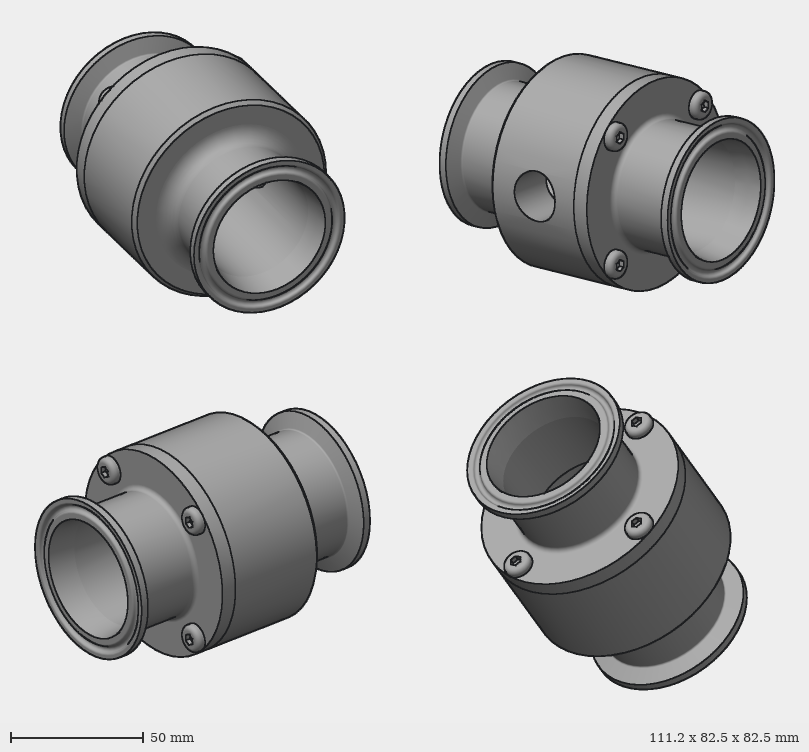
import cadquery as cq
import math

length = 111.2
end_face = length / 2
cap_face = -23.8
plate_thickness = 6.3
joint_face = cap_face + plate_thickness
housing_end = 23.6
hub_diameter = 82.5
housing_chamfer = 1.6

rim_diameter = 63.9
rim_width = 3.1
rim_back_angle = 20.0
rim_fillet = 0.8
tube_diameter = 50.7
cap_neck_fillet = 2.0
housing_neck_fillet = 6.3

bore_diameter = 44.5
mouth_diameter = 47.5
taper_length = 11.3

groove_mean_radius = 28.18
groove_half_width = 2.17
groove_bottom_half_width = 1.2
groove_depth = 1.6

port_diameter = 19.8
port_x = 1.6

screw_offset = 25.29
head_diameter = 11.1
head_height = 3.3
head_round = 2.0
shank_diameter = 6.3
shank_length = 2 * plate_thickness
socket_across_flats = 4.0
socket_depth = 2.0
socket_tip_angle = 30.0

AXIS_START = (0, 0, 0)
AXIS_END = (1, 0, 0)


def polar(center, radius, angle):
    """Point at an angle in degrees from the X direction."""
    turn = math.radians(angle)
    return (center[0] + radius * math.cos(turn), center[1] + radius * math.sin(turn))


def revolve_about_x(outline):
    return outline.close().revolve(360, AXIS_START, AXIS_END)


def cylinder_x(diameter, x_start, x_end):
    return cq.Workplane("YZ").workplane(offset=x_start).circle(diameter / 2).extrude(x_end - x_start)


def ferrule(tube_end, neck_fillet):
    """Solid clamp end: face at x = 0, tube running along +X and flaring into a hub at tube_end."""
    rim_radius = rim_diameter / 2
    tube_radius = tube_diameter / 2
    rim_center_y = tube_radius + rim_fillet
    corner_x = rim_width + (rim_radius - tube_radius) * math.tan(math.radians(rim_back_angle))
    tangent_length = rim_fillet * math.tan(math.radians((90 - rim_back_angle) / 2))
    rim_center = (corner_x + tangent_length, rim_center_y)
    neck_center = (tube_end - neck_fillet, tube_radius + neck_fillet)
    outline = (
        cq.Workplane("XY")
        .lineTo(0, rim_radius)
        .lineTo(rim_width, rim_radius)
        .lineTo(*polar(rim_center, rim_fillet, 180 + rim_back_angle))
        .threePointArc(
            polar(rim_center, rim_fillet, 225 + rim_back_angle / 2),
            polar(rim_center, rim_fillet, 270),
        )
        .lineTo(*polar(neck_center, neck_fillet, 270))
        .threePointArc(polar(neck_center, neck_fillet, 315), polar(neck_center, neck_fillet, 0))
        .lineTo(tube_end, 0)
    )
    return revolve_about_x(outline)


def mouth_taper():
    """Tapered entry to the bore, with the clamp face at x = 0."""
    outline = (
        cq.Workplane("XY")
        .lineTo(0, mouth_diameter / 2)
        .lineTo(taper_length, bore_diameter / 2)
        .lineTo(taper_length, 0)
    )
    return revolve_about_x(outline)


def gasket_groove():
    """Ring cut with a concave bottom and rounded edges, with the clamp face at x = 0."""
    turn = 2 * math.degrees(math.atan(groove_depth / groove_half_width))
    edge_radius = (groove_half_width - groove_bottom_half_width) / math.sin(math.radians(turn))
    bottom_radius = groove_bottom_half_width / math.sin(math.radians(turn))
    inner_edge_center = (edge_radius, groove_mean_radius - groove_half_width)
    outer_edge_center = (edge_radius, groove_mean_radius + groove_half_width)
    bottom_center = (groove_depth - bottom_radius, groove_mean_radius)
    outline = (
        cq.Workplane("XY")
        .moveTo(*polar(inner_edge_center, edge_radius, 180))
        .threePointArc(
            polar(inner_edge_center, edge_radius, 180 - turn / 2),
            polar(inner_edge_center, edge_radius, 180 - turn),
        )
        .threePointArc((groove_depth, groove_mean_radius), polar(bottom_center, bottom_radius, turn))
        .threePointArc(
            polar(outer_edge_center, edge_radius, 180 + turn / 2),
            polar(outer_edge_center, edge_radius, 180),
        )
    )
    return revolve_about_x(outline)


def at_left_end(shape):
    return shape.translate((-end_face, 0, 0))


def at_right_end(shape):
    return shape.rotate((0, 0, 0), (0, 0, 1), 180).translate((end_face, 0, 0))


def screw_positions():
    return [(y * screw_offset, z * screw_offset) for y in (-1, 1) for z in (-1, 1)]


def screw_holes():
    """Holes through the plate and into the housing, matching the screw shanks."""
    return (
        cq.Workplane("YZ")
        .workplane(offset=cap_face)
        .pushPoints(screw_positions())
        .circle(shank_diameter / 2)
        .extrude(shank_length)
    )


def make_cap():
    plate = cylinder_x(hub_diameter, cap_face, joint_face)
    neck = at_left_end(ferrule(cap_face + end_face, cap_neck_fillet))
    bore = cylinder_x(bore_diameter, -end_face, joint_face)
    return (
        plate.union(neck)
        .cut(bore)
        .cut(at_left_end(mouth_taper()))
        .cut(at_left_end(gasket_groove()))
        .cut(screw_holes())
    )


def make_housing():
    hub = cylinder_x(hub_diameter, joint_face, housing_end).faces(">X").chamfer(housing_chamfer)
    neck = at_right_end(ferrule(end_face - housing_end, housing_neck_fillet))
    bore = cylinder_x(bore_diameter, joint_face, end_face)
    port = (
        cq.Workplane("XZ")
        .center(port_x, 0)
        .circle(port_diameter / 2)
        .extrude(-hub_diameter / 2)
    )
    return (
        hub.union(neck)
        .cut(bore)
        .cut(at_right_end(mouth_taper()))
        .cut(at_right_end(gasket_groove()))
        .cut(port)
        .cut(screw_holes())
    )


def hex_socket():
    """Hexagonal recess with a conical bottom, opening at x = -head_height."""
    corner_radius = socket_across_flats / 2 / math.cos(math.radians(30))
    tip_depth = socket_depth + corner_radius * math.tan(math.radians(socket_tip_angle))
    hexagon = (
        cq.Workplane("YZ")
        .polygon(6, 2 * corner_radius)
        .extrude(tip_depth)
        .rotate((0, 0, 0), (1, 0, 0), 90)
    )
    pointed_outline = (
        cq.Workplane("XY")
        .lineTo(0, corner_radius)
        .lineTo(socket_depth, corner_radius)
        .lineTo(tip_depth, 0)
    )
    return hexagon.intersect(revolve_about_x(pointed_outline)).translate((-head_height, 0, 0))


def make_screw(y, z):
    head = cylinder_x(head_diameter, -head_height, 0).faces("<X").edges().fillet(head_round)
    shank = cylinder_x(shank_diameter, 0, shank_length)
    return head.union(shank).cut(hex_socket()).translate((cap_face, y, z))


cap = make_cap()
housing = make_housing()
screws = [make_screw(y, z) for y, z in screw_positions()]

result = cq.Compound.makeCompound(
    [cap.val(), housing.val(), *[screw.val() for screw in screws]]
)